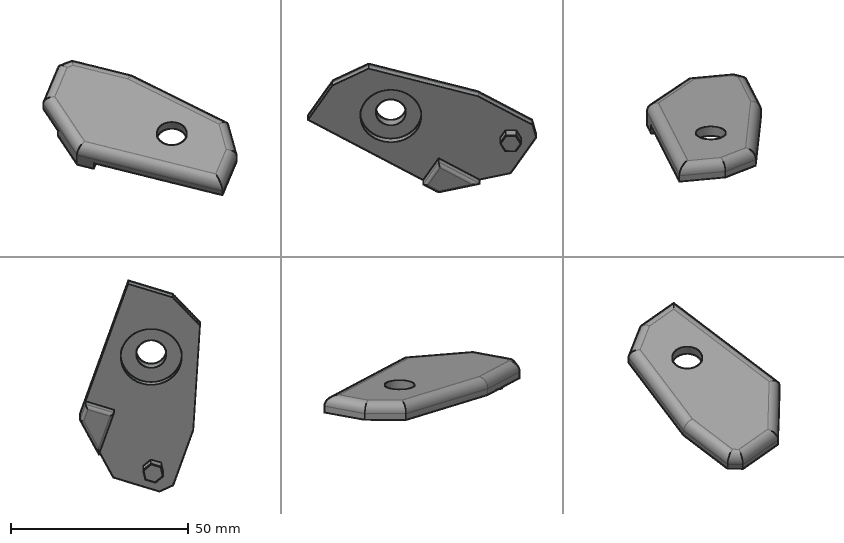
import cadquery as cq
import math

length = 58.05
width = 31.7
plate_height = 5.0
edge_radius = 3.0
small_corner_cut = 3.1
large_corner_cut = 14.85
slope_start_x = 21.1
shoulder_x = 52.25
slope_angle = 15.0
end_angle = 60.0

hole_diameter = 8.5
hole_x = 38.7
hole_y = 13.3
recess_diameter = 17.25
hole_land = 3.0

foot_height = 3.0
foot_right_x = 19.9
foot_width = 8.5
foot_edge_radius = 0.9
peg_circumradius = 3.0
peg_x = 6.05
peg_y = 24.75
peg_chamfer = 0.2


def make_plate():
    """Irregular plate with a rounded top rim and a hole counterbored from below."""
    shoulder_y = width - (shoulder_x - slope_start_x) * math.tan(math.radians(slope_angle))
    end_y = shoulder_y - (length - shoulder_x) * math.tan(math.radians(end_angle))
    outline = [
        (large_corner_cut, 0),
        (length, 0),
        (length, end_y),
        (shoulder_x, shoulder_y),
        (slope_start_x, width),
        (small_corner_cut, width),
        (0, width - small_corner_cut),
        (0, large_corner_cut),
    ]
    plate = cq.Workplane("XY").polyline(outline).close().extrude(plate_height)
    plate = plate.faces(">Z").edges().fillet(edge_radius)
    hole = cq.Workplane("XY").center(hole_x, hole_y).circle(hole_diameter / 2).extrude(plate_height)
    recess_depth = plate_height - hole_land
    recess = cq.Workplane("XY").center(hole_x, hole_y).circle(recess_diameter / 2).extrude(recess_depth)
    return plate.cut(hole).cut(recess)


def make_foot():
    """Foot flush with the large corner cut and the front edge, rounded at the bottom."""
    outline = [
        (large_corner_cut, 0),
        (foot_right_x, 0),
        (foot_right_x, foot_width),
        (large_corner_cut - foot_width, foot_width),
    ]
    foot = cq.Workplane("XY").polyline(outline).close().extrude(-foot_height)
    return foot.faces("<Z").edges().fillet(foot_edge_radius)


def make_peg():
    """Hexagonal peg with two corners along Y and a chamfered bottom rim."""
    peg = (
        cq.Workplane("XY")
        .transformed(offset=(peg_x, peg_y, 0), rotate=(0, 0, 90))
        .polygon(6, 2 * peg_circumradius)
        .extrude(-foot_height)
    )
    return peg.faces("<Z").edges().chamfer(peg_chamfer)


result = make_plate().union(make_foot()).union(make_peg())